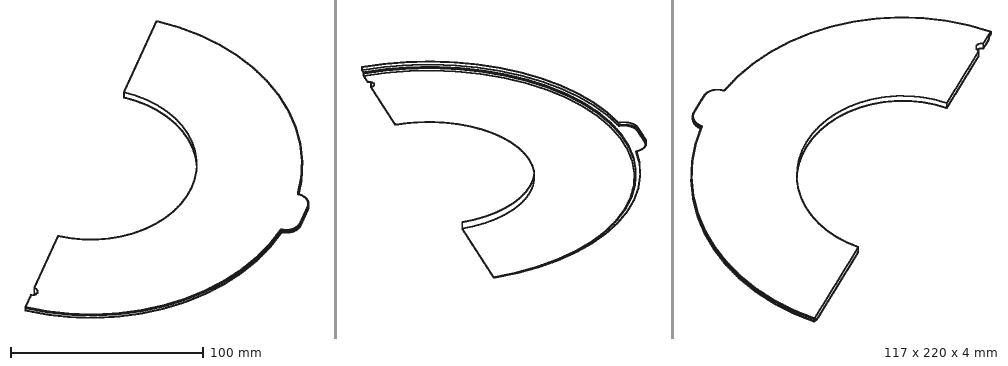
import cadquery as cq

outer_radius = 110.0
inner_radius = outer_radius / 2
thickness = 4.0

flange_thickness = 2.2
flange_overhang = 2.2
flange_chamfer = 0.5
body_thickness = thickness - flange_thickness
body_radius = outer_radius - flange_overhang
body_chamfer = 0.9

tab_reach = 117.0
tab_width = 28.0
tab_y = -0.9
tab_corner_radius = 8.0

notch_radius = 2.6
notch_y = -97.7


def disc(radius, height, base_z):
    return cq.Workplane("XY").workplane(offset=base_z).circle(radius).extrude(height)


def make_flange():
    """Full disc with the tab, chamfered along its upper rim and under the tab."""
    tab = (
        cq.Workplane("XY")
        .workplane(offset=body_thickness)
        .center(0, tab_y)
        .rect(2 * tab_reach, tab_width)
        .extrude(flange_thickness)
        .edges("|Z")
        .fillet(tab_corner_radius)
        .faces("<Z")
        .edges()
        .chamfer(flange_chamfer)
    )
    rim = disc(outer_radius, flange_thickness, body_thickness).union(tab)
    return rim.faces(">Z").edges().chamfer(flange_chamfer)


def make_body():
    """Lower disc with a chamfered bottom rim."""
    return disc(body_radius, body_thickness, 0).faces("<Z").edges().chamfer(body_chamfer)


half_space = cq.Workplane("XY").rect(tab_reach, 2 * outer_radius).extrude(thickness)
half_space = half_space.translate((tab_reach / 2, 0, 0))
result = make_body().union(make_flange()).intersect(half_space)

result = result.cut(disc(inner_radius, thickness, 0))
result = result.cut(disc(notch_radius, thickness, 0).translate((0, notch_y, 0)))